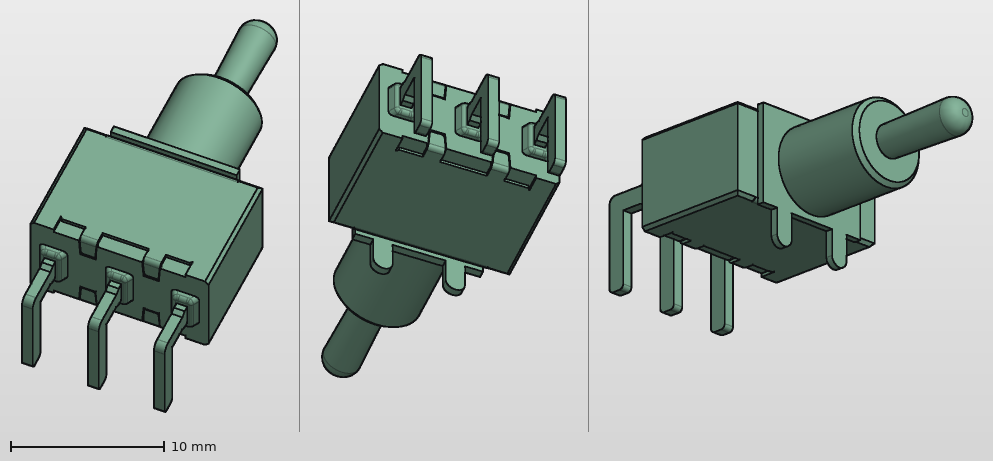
import cadquery as cq


HOUSING_WIDTH = 12.7
HOUSING_LENGTH = 8.8
HOUSING_HEIGHT = 6.65
HOUSING_CHAMFER = 0.25

COVER_WIDTH = 9.4
COVER_THICKNESS = 0.25
COVER_BEND_RADIUS = 0.33
COVER_REAR_GAP = 1.02
COVER_CORNER_CHAMFER = 0.17

TAB_SPACING = 4.5
TAB_WIDTH = 1.22
TAB_TIP_WIDTH = 1.0
TAB_TIP_Z = 1.8
TAB_TIP_RADIUS = 0.15
TAB_SETBACK = 0.03
TAB_GROOVE_CLEARANCE = 0.05
TAB_GROOVE_TIP_Z = 1.7

BRACKET_WIDTH = 9.0
BRACKET_HEIGHT = 7.09
BRACKET_THICKNESS = 0.53
BRACKET_LEG_SPACING = 5.1
BRACKET_LEG_WIDTH = 1.35
BRACKET_LEG_END_Z = -6.05

BUSHING_DIAMETER = 6.2
BUSHING_END_Y = 16.45
BUSHING_CHAMFER = 0.33

TERMINAL_PITCH = 4.7
TERMINAL_COUNT = 3
TERMINAL_WIDTH = 0.78
TERMINAL_THICKNESS = 1.27
TERMINAL_REAR_Y = -4.25
TERMINAL_END_Z = -6.17
TERMINAL_BEND_RADIUS = 0.55
TERMINAL_TIP_RADIUS = 0.33
ROOT_HEIGHT = 1.65
ROOT_END_Y = -1.0
ROOT_TAPER_END_Y = -1.38
BOSS_HEIGHT = 2.82
BOSS_BASE_WIDTH = 2.0
BOSS_END_WIDTH = 1.33
BOSS_DEPTH = 0.58
BOSS_CORNER_RADIUS = 0.33
BOSS_END_RADIUS = 0.3

LEVER_TIP_Y = 23.42
LEVER_TIP_DIAMETER = 2.65
LEVER_ROOT_DIAMETER = 2.38
LEVER_TIP_RADIUS = 1.05

HOUSING_TOP_Z = HOUSING_HEIGHT / 2
BRACKET_FRONT_Y = HOUSING_LENGTH + BRACKET_THICKNESS
LEVER_ROOT_Y = BRACKET_FRONT_Y
SIDES = (-1, 1)


def make_box(width, length, height, rear_y=0.0, center_z=0.0):
    """Box centred on X that runs forward from rear_y."""
    return cq.Workplane("XY").box(width, length, height, centered=(True, False, True)).translate(
        (0, rear_y, center_z)
    )


def make_housing():
    """Block with chamfered side and front edges, and the bed that the cover lies in."""
    block = (
        make_box(HOUSING_WIDTH, HOUSING_LENGTH, HOUSING_HEIGHT)
        .edges("|Y")
        .chamfer(HOUSING_CHAMFER)
        .faces(">Y")
        .edges("<Z or >Z")
        .chamfer(HOUSING_CHAMFER)
    )
    for side in SIDES:
        bed_z = side * (HOUSING_TOP_Z - COVER_THICKNESS / 2)
        block = block.cut(make_box(COVER_WIDTH, HOUSING_LENGTH, COVER_THICKNESS, center_z=bed_z))
    return block


def tab_outline(x, side, clearance, tip_z):
    """Tapered outline of one tab on the rear face, from the cover edge to the tip."""
    root_half = TAB_WIDTH / 2 + clearance
    tip_half = TAB_TIP_WIDTH / 2 + clearance
    return cq.Workplane("XZ").polyline(
        [
            (x - root_half, side * HOUSING_TOP_Z),
            (x + root_half, side * HOUSING_TOP_Z),
            (x + tip_half, side * tip_z),
            (x - tip_half, side * tip_z),
        ]
    ).close()


def make_tab_groove(x, side):
    """Groove in the rear face that clears one tab."""
    return tab_outline(x, side, TAB_GROOVE_CLEARANCE, TAB_GROOVE_TIP_Z).extrude(-COVER_THICKNESS)


def make_tab(x, side):
    """Flat strip that runs back from the cover and folds over the rear face."""
    strip_z = side * (HOUSING_TOP_Z - COVER_THICKNESS / 2)
    strip = make_box(
        TAB_WIDTH, COVER_REAR_GAP - TAB_SETBACK, COVER_THICKNESS, TAB_SETBACK, strip_z
    ).translate((x, 0, 0))
    fold = (
        tab_outline(x, side, 0, TAB_TIP_Z)
        .extrude(TAB_SETBACK - COVER_THICKNESS)
        .translate((0, TAB_SETBACK, 0))
        .faces("<Z" if side > 0 else ">Z")
        .edges("|Y")
        .fillet(TAB_TIP_RADIUS)
    )
    outer_edge = ">Z" if side > 0 else "<Z"
    return strip.union(fold).faces("<Y").edges(outer_edge).fillet(COVER_BEND_RADIUS)


def make_cover():
    """Cover over the housing core: cut corners at the rear and round bends at the front."""
    cover_length = HOUSING_LENGTH - COVER_REAR_GAP
    return (
        make_box(COVER_WIDTH, cover_length, HOUSING_HEIGHT, COVER_REAR_GAP)
        .faces("<Y")
        .edges("|Z")
        .chamfer(COVER_CORNER_CHAMFER)
        .faces(">Y")
        .edges("<Z or >Z")
        .fillet(COVER_BEND_RADIUS)
    )


def make_bracket():
    """Flat plate in front of the housing, with two round-ended locating legs."""
    bracket = make_box(BRACKET_WIDTH, BRACKET_THICKNESS, BRACKET_HEIGHT, HOUSING_LENGTH)
    leg_radius = BRACKET_LEG_WIDTH / 2
    for side in SIDES:
        leg = (
            cq.Workplane("XZ", origin=(side * BRACKET_LEG_SPACING / 2, HOUSING_LENGTH, 0))
            .moveTo(-leg_radius, 0)
            .lineTo(-leg_radius, BRACKET_LEG_END_Z + leg_radius)
            .threePointArc((0, BRACKET_LEG_END_Z), (leg_radius, BRACKET_LEG_END_Z + leg_radius))
            .lineTo(leg_radius, 0)
            .close()
            .extrude(-BRACKET_THICKNESS)
        )
        bracket = bracket.union(leg)
    return bracket


def make_bushing():
    """Round sleeve around the lever, chamfered at its open end."""
    return (
        cq.Workplane("XZ", origin=(0, HOUSING_LENGTH, 0))
        .circle(BUSHING_DIAMETER / 2)
        .extrude(HOUSING_LENGTH - BUSHING_END_Y)
        .faces(">Y")
        .chamfer(BUSHING_CHAMFER)
    )


def make_boss():
    """Raised boss around a terminal root, with sloped sides and rounded edges."""
    base_half = BOSS_BASE_WIDTH / 2
    end_half = BOSS_END_WIDTH / 2
    return (
        cq.Workplane("XY", origin=(0, 0, -BOSS_HEIGHT / 2))
        .polyline(
            [(-base_half, 0), (base_half, 0), (end_half, -BOSS_DEPTH), (-end_half, -BOSS_DEPTH)]
        )
        .close()
        .extrude(BOSS_HEIGHT)
        .edges("(not |X) and (not |Z)")
        .fillet(BOSS_CORNER_RADIUS)
        .faces("<Y")
        .edges()
        .fillet(BOSS_END_RADIUS)
    )


def make_terminal():
    """Flat blade that leaves the housing, narrows past its root and bends down."""
    root_half = ROOT_HEIGHT / 2
    blade_half = TERMINAL_THICKNESS / 2
    leg_front_y = TERMINAL_REAR_Y + TERMINAL_THICKNESS
    blade = (
        cq.Workplane("YZ", origin=(-TERMINAL_WIDTH / 2, 0, 0))
        .polyline(
            [
                (0, root_half),
                (ROOT_END_Y, root_half),
                (ROOT_TAPER_END_Y, blade_half),
                (TERMINAL_REAR_Y, blade_half),
                (TERMINAL_REAR_Y, TERMINAL_END_Z),
                (leg_front_y, TERMINAL_END_Z),
                (leg_front_y, -blade_half),
                (ROOT_TAPER_END_Y, -blade_half),
                (ROOT_END_Y, -root_half),
                (0, -root_half),
            ]
        )
        .close()
        .extrude(TERMINAL_WIDTH)
    )
    blade = blade.faces("<Z").edges("|X").fillet(TERMINAL_TIP_RADIUS)
    return blade.faces("<Y").edges(">Z").fillet(TERMINAL_BEND_RADIUS)


def make_lever():
    """Lever that widens slightly toward its rounded tip."""
    root_radius = LEVER_ROOT_DIAMETER / 2
    tip_radius = LEVER_TIP_DIAMETER / 2
    dome_y = LEVER_TIP_Y - LEVER_TIP_RADIUS
    return (
        cq.Workplane("XY")
        .moveTo(0, LEVER_ROOT_Y)
        .lineTo(root_radius, LEVER_ROOT_Y)
        .lineTo(root_radius, BUSHING_END_Y)
        .lineTo(tip_radius, dome_y)
        .radiusArc((tip_radius - LEVER_TIP_RADIUS, LEVER_TIP_Y), -LEVER_TIP_RADIUS)
        .lineTo(0, LEVER_TIP_Y)
        .close()
        .revolve(360, (0, 0, 0), (0, 1, 0))
    )


def make_switch_body(lever):
    """Housing, cover, bracket, bushing and terminals in one piece, with a socket for the lever."""
    body = make_housing()
    tab_places = [(end * TAB_SPACING / 2, side) for end in SIDES for side in SIDES]
    for x, side in tab_places:
        body = body.cut(make_tab_groove(x, side))
    body = body.union(make_cover())
    for x, side in tab_places:
        body = body.union(make_tab(x, side))
    body = body.union(make_bracket()).union(make_bushing())
    terminal = make_boss().union(make_terminal())
    for index in range(TERMINAL_COUNT):
        x = (index - (TERMINAL_COUNT - 1) / 2) * TERMINAL_PITCH
        body = body.union(terminal.translate((x, 0, 0)))
    return body.cut(lever)


lever = make_lever()
switch_body = make_switch_body(lever)
result = cq.Compound.makeCompound([switch_body.val(), lever.val()])